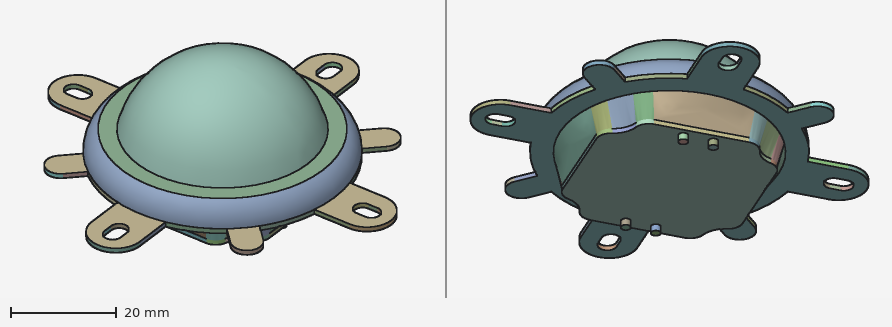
import cadquery as cq
import math

total_height = 29.4
pin_length = 1.4
board_thickness = 1.0
funnel_height = 5.4
plate_thickness = 1.0
ring_height = 5.0

board_bottom = pin_length
board_top = board_bottom + board_thickness
plate_bottom = board_top + funnel_height
plate_top = plate_bottom + plate_thickness
ring_top = plate_top + ring_height

dome_diameter = 40.0
ring_diameter = 52.9
ring_flat_diameter = 47.2

long_tab_reach = 39.7
long_tab_width = 11.35
slot_length = 5.8
slot_width = 3.7
short_tab_reach = 34.15
short_tab_width = 6.3

funnel_diameter = 44.0
board_half_width = 18.1
board_half_flat = 9.5
lobe_radius = 3.0
lobe_turn = 73.5

pin_diameter = 1.9
pin_x = 16.2
pin_y = 3.0

QUARTER_TURNS = (0, 90, 180, 270)
DIAGONAL = 45


def make_dome():
    """Spherical cap on a round plug that fills the ring's bore."""
    rim = dome_diameter / 2
    rise = total_height - ring_top
    sphere_radius = (rim**2 + rise**2) / (2 * rise)
    sphere_centre = total_height - sphere_radius
    half_angle = math.asin(rim / sphere_radius) / 2
    arc_middle = (
        sphere_radius * math.sin(half_angle),
        sphere_centre + sphere_radius * math.cos(half_angle),
    )
    return (
        cq.Workplane("XZ")
        .moveTo(0, plate_top)
        .lineTo(rim, plate_top)
        .lineTo(rim, ring_top)
        .threePointArc(arc_middle, (0, total_height))
        .close()
        .revolve(360, (0, 0), (0, 1))
    )


def make_ring():
    """Ring whose outer wall starts upright and curls inward to a flat top."""
    bore = dome_diameter / 2
    outer = ring_diameter / 2
    flat_edge = ring_flat_diameter / 2
    inset = outer - flat_edge
    wall_radius = (inset**2 + ring_height**2) / (2 * inset)
    half_angle = math.asin(ring_height / wall_radius) / 2
    wall_middle = (
        outer - wall_radius * (1 - math.cos(half_angle)),
        plate_top + wall_radius * math.sin(half_angle),
    )
    return (
        cq.Workplane("XZ")
        .moveTo(bore, plate_top)
        .lineTo(outer, plate_top)
        .threePointArc(wall_middle, (flat_edge, ring_top))
        .lineTo(bore, ring_top)
        .close()
        .revolve(360, (0, 0), (0, 1))
    )


def make_tab(reach, width, angle):
    """Round-ended tab from the centre out to the given reach."""
    end_centre = reach - width / 2
    bar = cq.Workplane("XY").center(end_centre / 2, 0).rect(end_centre, width).extrude(plate_thickness)
    tip = cq.Workplane("XY").center(end_centre, 0).circle(width / 2).extrude(plate_thickness)
    return bar.union(tip).rotate((0, 0, 0), (0, 0, 1), angle)


def make_plate():
    """Disc with four slotted tabs and four short tabs."""
    plate = cq.Workplane("XY").circle(ring_diameter / 2).extrude(plate_thickness)
    slot = (
        cq.Workplane("XY")
        .center(long_tab_reach - long_tab_width / 2, 0)
        .slot2D(slot_length, slot_width)
        .extrude(plate_thickness)
    )
    for angle in QUARTER_TURNS:
        plate = plate.union(make_tab(long_tab_reach, long_tab_width, angle))
        plate = plate.union(make_tab(short_tab_reach, short_tab_width, angle + DIAGONAL))
        plate = plate.cut(slot.rotate((0, 0, 0), (0, 0, 1), angle))
    return plate.translate((0, 0, plate_bottom))


def turned(point, angle):
    """The point turned about the origin by an angle in degrees."""
    cosine = math.cos(math.radians(angle))
    sine = math.sin(math.radians(angle))
    return (point[0] * cosine - point[1] * sine, point[0] * sine + point[1] * cosine)


def draw_board(plane):
    """Square outline whose corners are rounded lobes with a concave notch between them."""
    lobe_x = board_half_width - lobe_radius

    def on_lobe(turn):
        angle = math.radians(turn)
        return (lobe_x + lobe_radius * math.cos(angle), board_half_flat + lobe_radius * math.sin(angle))

    def mirrored(point):
        return (point[1], point[0])

    flat_end = on_lobe(0)
    lobe_middle = on_lobe(lobe_turn / 2)
    notch_start = on_lobe(lobe_turn)

    half_chord = (notch_start[0] - notch_start[1]) / math.sqrt(2)
    notch_depth = half_chord * math.tan(math.radians(lobe_turn - DIAGONAL) / 2)
    notch_middle = (notch_start[0] + notch_start[1]) / 2 - notch_depth / math.sqrt(2)

    outline = plane.moveTo(0, -board_half_width)
    for quarter_turn in QUARTER_TURNS:
        angle = quarter_turn - 90
        outline = (
            outline.lineTo(*turned(flat_end, angle))
            .threePointArc(turned(lobe_middle, angle), turned(notch_start, angle))
            .threePointArc(
                turned((notch_middle, notch_middle), angle),
                turned(mirrored(notch_start), angle),
            )
            .threePointArc(turned(mirrored(lobe_middle), angle), turned(mirrored(flat_end), angle))
        )
    return outline.close()


def make_base():
    """Tabbed plate, funnel narrowing to the board, board and contact pins in one body."""
    board = draw_board(cq.Workplane("XY").workplane(offset=board_bottom)).extrude(board_thickness)
    funnel = (
        draw_board(cq.Workplane("XY").workplane(offset=board_top))
        .workplane(offset=funnel_height)
        .circle(funnel_diameter / 2)
        .loft()
    )
    pins = (
        cq.Workplane("XY")
        .rect(2 * pin_x, 2 * pin_y, forConstruction=True)
        .vertices()
        .circle(pin_diameter / 2)
        .extrude(pin_length)
    )
    return make_plate().union(funnel).union(board).union(pins)


dome = make_dome()
ring = make_ring()
base = make_base()

result = cq.Compound.makeCompound([dome.val(), ring.val(), base.val()])